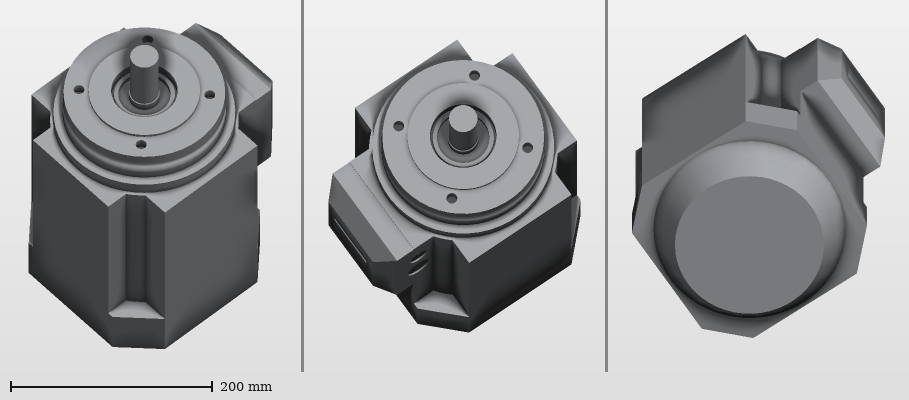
import cadquery as cq

OVERLAP = 2.0

BODY_BOTTOM = 40.0
CORNER_LEDGE = 89.5
BODY_TOP = 265.3
PLATE_TOP = 278.5
CAP_TOP = 293.0
NECK_TOP = 299.7
FLANGE_BOTTOM = 300.5
FLANGE_TOP = 311.2
SPIGOT_TOP = 314.0
SHAFT_TOP = 370.5

BODY_WIDTH = 197.0
BODY_HALF = BODY_WIDTH / 2
CORNER_CHAMFER = 36.5
RELIEF_CORE_RADIUS = 93.5
END_FACE_HALF = 55.5
SIDE_FACE_HALF = BODY_HALF - CORNER_CHAMFER

TAIL_BIG_RADIUS = 95.0
TAIL_SMALL_RADIUS = 73.7

PLATE_RADIUS = 90.0
CAP_RADIUS = 81.0
CAP_FILLET = 6.0
NECK_RADIUS = 53.0
NECK_FILLET = 4.0
RELIEF_RADIUS = 50.0
FLANGE_RADIUS = 80.0
SPIGOT_RADIUS = 55.2

SHAFT_RADIUS = 14.0
COLLAR_RADIUS = 15.2
COLLAR_DROP = 3.5
RECESS_RADIUS = 33.0
RECESS_DEPTH = 12.0
SEAL_OUTER_RADIUS = 30.5
SEAL_CHAMFER = 0.5
SEAL_INNER_RADIUS = 26.0
SEAL_DROP = 6.3

BOLT_CIRCLE_RADIUS = 65.0
BOLT_HOLE_DIAMETER = 10.7
BOLT_COUNT = 4

BOX_BOTTOM = 153.8
BOX_TOP = 264.0
BOX_CHAMFER = 17.0
BADGE_FACE_Y = 137.0
BADGE_THICKNESS = 1.0
BOX_FACE_Y = BADGE_FACE_Y - BADGE_THICKNESS
BADGE_WIDTH = 55.0
BADGE_HEIGHT = 22.5
BOX_MIDDLE = (BOX_BOTTOM + BOX_TOP) / 2

ENTRY_Y = 92.5
ENTRY_DEPTH = 2.0
ENTRIES = ((230.5, 10.0), (196.5, 13.0))


def disc(radius, bottom, top):
    return cq.Workplane("XY").workplane(offset=bottom).circle(radius).extrude(top - bottom)


def block(x_half, y_half, bottom, top):
    return (
        cq.Workplane("XY")
        .workplane(offset=bottom)
        .rect(2 * x_half, 2 * y_half)
        .extrude(top - bottom)
    )


def make_body():
    base = block(BODY_HALF, BODY_HALF, BODY_BOTTOM, CORNER_LEDGE).edges("|Z").chamfer(CORNER_CHAMFER)
    core = disc(RELIEF_CORE_RADIUS, CORNER_LEDGE - OVERLAP, BODY_TOP)
    along_x = block(BODY_HALF, SIDE_FACE_HALF, CORNER_LEDGE - OVERLAP, BODY_TOP)
    along_y = block(END_FACE_HALF, BODY_HALF, CORNER_LEDGE - OVERLAP, BODY_TOP)
    return base.union(core).union(along_x).union(along_y)


def make_tail():
    return (
        cq.Workplane("XY")
        .circle(TAIL_SMALL_RADIUS)
        .workplane(offset=BODY_BOTTOM)
        .circle(TAIL_BIG_RADIUS)
        .loft()
    )


def make_nose():
    """Plate, rounded cap, neck with a filleted root and relief groove, revolved about Z."""
    cap_flat_radius = CAP_RADIUS - CAP_FILLET
    return (
        cq.Workplane("XZ")
        .moveTo(0, BODY_TOP - OVERLAP)
        .lineTo(PLATE_RADIUS, BODY_TOP - OVERLAP)
        .lineTo(PLATE_RADIUS, PLATE_TOP)
        .lineTo(CAP_RADIUS, PLATE_TOP)
        .lineTo(CAP_RADIUS, CAP_TOP - CAP_FILLET)
        .radiusArc((cap_flat_radius, CAP_TOP), -CAP_FILLET)
        .lineTo(NECK_RADIUS + NECK_FILLET, CAP_TOP)
        .radiusArc((NECK_RADIUS, CAP_TOP + NECK_FILLET), NECK_FILLET)
        .lineTo(NECK_RADIUS, NECK_TOP)
        .lineTo(RELIEF_RADIUS, NECK_TOP)
        .lineTo(RELIEF_RADIUS, FLANGE_BOTTOM + OVERLAP)
        .lineTo(0, FLANGE_BOTTOM + OVERLAP)
        .close()
        .revolve(360, (0, 0, 0), (0, 1, 0))
    )


def make_flange():
    bolt_holes = (
        cq.Workplane("XY")
        .workplane(offset=FLANGE_BOTTOM)
        .polarArray(BOLT_CIRCLE_RADIUS, 180 / BOLT_COUNT, 360, BOLT_COUNT)
        .circle(BOLT_HOLE_DIAMETER / 2)
        .extrude(FLANGE_TOP - FLANGE_BOTTOM)
    )
    flange = disc(FLANGE_RADIUS, FLANGE_BOTTOM, FLANGE_TOP).cut(bolt_holes)
    return flange.union(disc(SPIGOT_RADIUS, FLANGE_BOTTOM, SPIGOT_TOP))


def make_recess():
    return disc(RECESS_RADIUS, SPIGOT_TOP - RECESS_DEPTH, SPIGOT_TOP)


def make_shaft_and_seal():
    seat = SPIGOT_TOP - RECESS_DEPTH - OVERLAP
    seal_top = SPIGOT_TOP - SEAL_DROP
    seal = disc(SEAL_OUTER_RADIUS, seat, seal_top).faces(">Z").edges().chamfer(SEAL_CHAMFER)
    seal = seal.cut(disc(SEAL_INNER_RADIUS, seat + OVERLAP, seal_top))
    collar = disc(COLLAR_RADIUS, seat, SPIGOT_TOP - COLLAR_DROP)
    return seal.union(collar).union(disc(SHAFT_RADIUS, seat, SHAFT_TOP))


def make_terminal_box():
    box_height = BOX_TOP - BOX_BOTTOM
    box = (
        cq.Workplane("XY")
        .box(2 * END_FACE_HALF, BOX_FACE_Y, box_height, centered=(True, False, False))
        .translate((0, 0, BOX_BOTTOM))
        .faces(">Y")
        .edges()
        .chamfer(BOX_CHAMFER)
    )
    badge = (
        cq.Workplane("XY")
        .box(BADGE_WIDTH, BADGE_FACE_Y, BADGE_HEIGHT, centered=(True, False, True))
        .translate((0, 0, BOX_MIDDLE))
    )
    return box.union(badge)


def make_cable_entry(height, radius):
    return (
        cq.Workplane("YZ")
        .workplane(offset=-END_FACE_HALF)
        .center(ENTRY_Y, height)
        .circle(radius)
        .extrude(ENTRY_DEPTH)
    )


result = make_body().union(make_tail()).union(make_nose()).union(make_flange())
result = result.cut(make_recess()).union(make_shaft_and_seal()).union(make_terminal_box())
for entry_height, entry_radius in ENTRIES:
    result = result.cut(make_cable_entry(entry_height, entry_radius))